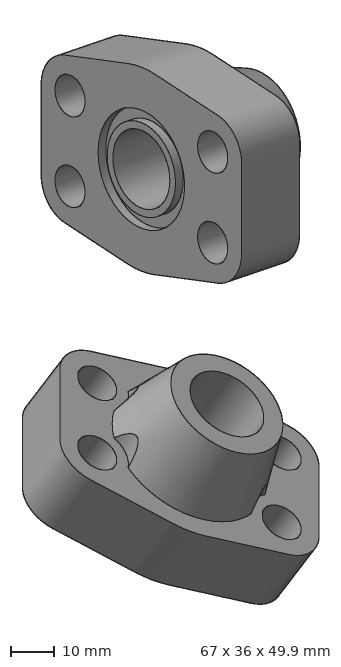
import cadquery as cq
import math

WIDTH = 67.0
HEIGHT = 49.9
THICKNESS = 18.0
CORNER_RADIUS = 9.7
CROWN_RADIUS = 23.8
EDGE_SLOPE = 10.8

HUB_LENGTH = 17.95
HUB_BASE_RADIUS = 19.95
HUB_TIP_RADIUS = 14.5
BORE_DIAMETER = 19.0

GROOVE_OUTER_DIAMETER = 28.9
GROOVE_INNER_DIAMETER = 22.8
GROOVE_DEPTH = 2.4

HOLE_DIAMETER = 10.05
HOLE_SPACING_X = 47.65
HOLE_SPACING_Z = 22.2
BOLT_HEAD_DIAMETER = 16.1


def rod(diameter, y_start, length, x=0, z=0):
    """Cylinder along +Y starting at y_start."""
    return cq.Workplane(
        cq.Solid.makeCylinder(diameter / 2, length, cq.Vector(x, y_start, z), cq.Vector(0, 1, 0))
    )


def make_flange():
    """Plate with rounded corners and sloping edges tangent to a crown arc."""
    slope = math.radians(EDGE_SLOPE)
    crown_center_z = HEIGHT / 2 - CROWN_RADIUS
    tangent_x = CROWN_RADIUS * math.sin(slope)
    tangent_z = crown_center_z + CROWN_RADIUS * math.cos(slope)
    side_x = WIDTH / 2
    side_z = tangent_z - (side_x - tangent_x) * math.tan(slope)
    return (
        cq.Workplane("XZ", origin=(0, THICKNESS, 0))
        .moveTo(-side_x, -side_z)
        .lineTo(-side_x, side_z)
        .lineTo(-tangent_x, tangent_z)
        .threePointArc((0, HEIGHT / 2), (tangent_x, tangent_z))
        .lineTo(side_x, side_z)
        .lineTo(side_x, -side_z)
        .lineTo(tangent_x, -tangent_z)
        .threePointArc((0, -HEIGHT / 2), (-tangent_x, -tangent_z))
        .close()
        .extrude(THICKNESS)
        .edges("|Y and (<X or >X)")
        .fillet(CORNER_RADIUS)
    )


def make_hub():
    """Cone on the back of the plate."""
    return cq.Workplane(
        cq.Solid.makeCone(
            HUB_BASE_RADIUS, HUB_TIP_RADIUS, HUB_LENGTH, cq.Vector(0, THICKNESS, 0), cq.Vector(0, 1, 0)
        )
    )


def make_seal_groove():
    """Ring to be removed from the front face."""
    outer = rod(GROOVE_OUTER_DIAMETER, 0, GROOVE_DEPTH)
    return outer.cut(rod(GROOVE_INNER_DIAMETER, 0, GROOVE_DEPTH))


total_depth = THICKNESS + HUB_LENGTH
result = make_flange().union(make_hub())
result = result.cut(rod(BORE_DIAMETER, 0, total_depth)).cut(make_seal_groove())

for x_sign in (-1, 1):
    for z_sign in (-1, 1):
        hole_x = x_sign * HOLE_SPACING_X / 2
        hole_z = z_sign * HOLE_SPACING_Z / 2
        result = result.cut(rod(HOLE_DIAMETER, 0, THICKNESS, hole_x, hole_z))
        result = result.cut(rod(BOLT_HEAD_DIAMETER, THICKNESS, HUB_LENGTH, hole_x, hole_z))